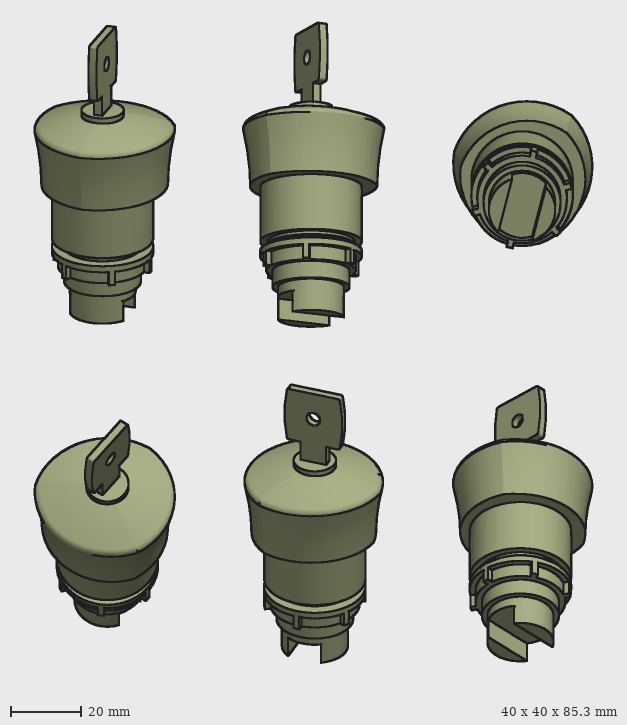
import cadquery as cq
import math

total_height = 85.3
foot_slot_top = 6.1
barrel_bottom = 9.2
nut_bottom = 14.1
flange_bottom = 18.2
flange_top = 20.05
ring_bottom = 21.6
body_bottom = 22.6
head_bottom = 38.7
head_waist = 47.1
rim_height = 55.6
dome_edge = 57.2
dome_top = 60.8
lock_top = 62.35

barrel_radius = 11.0
foot_radius = 9.5
ring_radius = 12.5
body_radius = 14.5
lock_radius = 6.05

hub_radius = 12.8
lug_count = 6
lug_width = 1.8

foot_slot_width = 10.0

head_half_width = 40.0 / 2
head_bottom_half = 18.0
head_waist_half = 18.5
dome_edge_half = 18.7
rim_round_half = 19.6
rim_round_height = 56.55
lobe_offset = 2.0
side_lobe_y = 1.9

key_thickness = 2.5
bow_bottom = 68.3
bow_half_width = 8.9
bow_end_half_width = 8.0
bow_corner_radius = 0.85
stem_width = 7.9
key_hole_diameter = 4.1


def cylinder(radius, bottom, top):
    return cq.Workplane("XY").workplane(offset=bottom).circle(radius).extrude(top - bottom)


def box(length, width, bottom, top):
    blank = cq.Workplane("XY").workplane(offset=bottom).rect(length, width)
    return blank.extrude(top - bottom)


def make_stem():
    """Turned shaft below the head, with a slot across its foot."""
    foot = cylinder(foot_radius, 0, barrel_bottom)
    slot = box(3 * foot_radius, foot_slot_width, 0, foot_slot_top)
    barrel = cylinder(barrel_radius, barrel_bottom, body_bottom)
    ring = cylinder(ring_radius, ring_bottom, body_bottom)
    body = cylinder(body_radius, body_bottom, head_bottom)
    return foot.cut(slot).union(barrel).union(ring).union(body)


def make_nut():
    """Flanged nut with radial lugs that end flush with the flange."""
    flange = cylinder(body_radius, flange_bottom, flange_top)
    hub = cylinder(hub_radius, nut_bottom, flange_bottom)
    lugs = box(2 * body_radius, lug_width, nut_bottom, flange_bottom)
    nut = flange.union(hub)
    for i in range(lug_count // 2):
        nut = nut.union(lugs.rotate((0, 0, 0), (0, 0, 1), i * 360 / lug_count))
    return nut.intersect(cylinder(body_radius, nut_bottom, flange_top))


def make_lobe():
    """Round mushroom cap, wider than the head by the lobe offset."""
    edge_radius = dome_edge_half + lobe_offset
    lock_edge = lock_radius + lobe_offset
    drop = dome_top - dome_edge
    centre_z = (dome_top + dome_edge) / 2 - (edge_radius**2 - lock_edge**2) / (2 * drop)
    sphere_radius = math.hypot(edge_radius, dome_edge - centre_z)
    mid_radius = edge_radius / 2
    mid_z = centre_z + math.sqrt(sphere_radius**2 - mid_radius**2)
    profile = (
        cq.Workplane("XZ")
        .moveTo(0, head_bottom)
        .lineTo(head_bottom_half + lobe_offset, head_bottom)
        .threePointArc(
            (head_waist_half + lobe_offset, head_waist),
            (head_half_width + lobe_offset, rim_height),
        )
        .threePointArc((rim_round_half + lobe_offset, rim_round_height), (edge_radius, dome_edge))
        .threePointArc((mid_radius, mid_z), (0, centre_z + sphere_radius))
        .close()
    )
    return profile.revolve(360, (0, 0, 0), (0, 1, 0))


def make_head():
    """Three offset caps intersected, leaving three soft corners."""
    lobe = make_lobe()
    head = lobe.translate((0, -lobe_offset, 0))
    for side in (-1, 1):
        head = head.intersect(lobe.translate((side * lobe_offset, side_lobe_y, 0)))
    return head


def make_key():
    """Key standing in the YZ plane, with bowed sides and a ring hole."""
    bow_middle = (bow_bottom + total_height) / 2
    bow = (
        cq.Workplane("YZ")
        .moveTo(-bow_end_half_width, bow_bottom)
        .lineTo(bow_end_half_width, bow_bottom)
        .threePointArc((bow_half_width, bow_middle), (bow_end_half_width, total_height))
        .lineTo(-bow_end_half_width, total_height)
        .threePointArc((-bow_half_width, bow_middle), (-bow_end_half_width, bow_bottom))
        .close()
        .extrude(key_thickness / 2, both=True)
        .edges("|X")
        .fillet(bow_corner_radius)
    )
    hole = (
        cq.Workplane("YZ")
        .center(0, bow_middle)
        .circle(key_hole_diameter / 2)
        .extrude(key_thickness, both=True)
    )
    return bow.cut(hole).union(box(key_thickness, stem_width, lock_top, bow_bottom))


lock = cylinder(lock_radius, rim_height, lock_top)
result = make_stem().union(make_nut()).union(make_head()).union(lock).union(make_key())